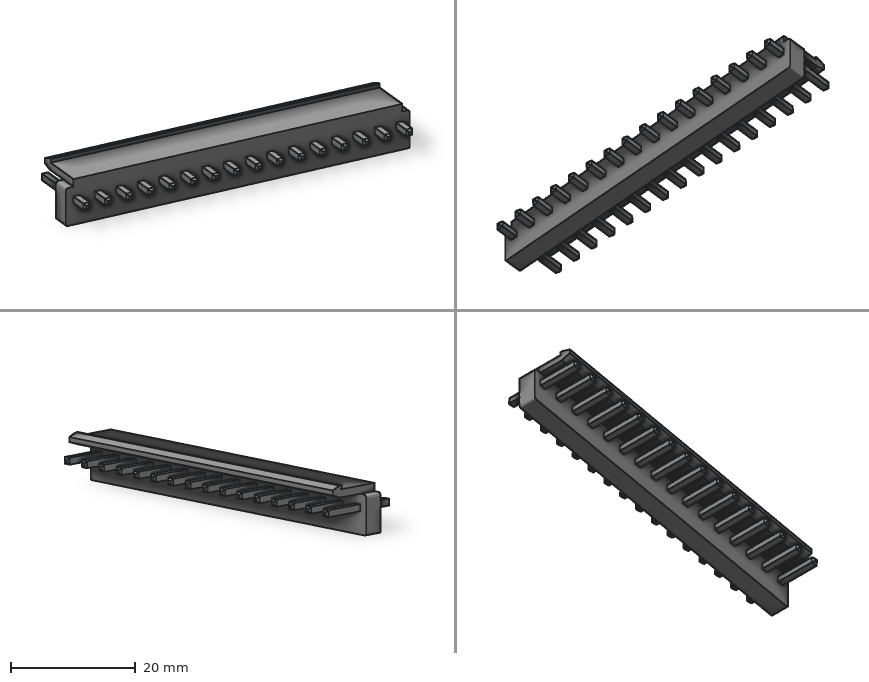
import cadquery as cq

pin_count = 16
pin_row_length = 59.4
pin_pitch = pin_row_length / (pin_count - 1)
pin_width = 1.15
pin_length = 14.3
pin_height = 4.45
tip_length = 0.4
tip_width = 0.5

wall_length = 63.35
wall_start = 0.3
wall_thickness = 3.2
wall_height = 6.7
top_edge_radius = 0.6
bottom_edge_radius = 0.4

ramp_length = 60.6
plate_thickness = 1.3
hook_height = 0.65
total_height = wall_height + plate_thickness + hook_height
ramp_reach = 9.4
hook_crest_start = 1.5
hook_crest_end = 1.95
nose_bottom = 0.6
nose_top = 1.4
nose_taper_length = 1.65


def wall():
    """Upright wall with rounded top and bottom end edges."""
    block = cq.Workplane("XY").box(
        wall_thickness, wall_length, wall_height, centered=(False, True, False)
    )
    block = block.edges("|X and >Z").fillet(top_edge_radius)
    block = block.edges("|X and <Z").fillet(bottom_edge_radius)
    return block.translate((wall_start, 0, 0))


def ramp():
    """Roof plate extruded along Y, tapered at the nose and raised at the hook."""
    back = wall_start + wall_thickness
    nose = back - ramp_reach
    plate_top = wall_height + plate_thickness
    profile = [
        (back, wall_height),
        (back, plate_top),
        (nose + hook_crest_end, plate_top),
        (nose + hook_crest_end, total_height),
        (nose + hook_crest_start, total_height),
        (nose, wall_height + nose_top),
        (nose, wall_height + nose_bottom),
        (nose + nose_taper_length, wall_height),
    ]
    return cq.Workplane("XZ").polyline(profile).close().extrude(ramp_length / 2, both=True)


def pin(y):
    """Square pin along X with a tapered tip at each end."""
    shank_end = pin_length / 2 - tip_length
    shank = cq.Workplane("YZ").rect(pin_width, pin_width).extrude(shank_end, both=True)
    tip = (
        cq.Workplane("YZ", origin=(shank_end, 0, 0))
        .rect(pin_width, pin_width)
        .workplane(offset=tip_length)
        .rect(tip_width, tip_width)
        .loft(ruled=True)
    )
    return shank.union(tip).union(tip.mirror("YZ")).translate((0, y, pin_height))


result = wall().union(ramp())
for index in range(pin_count):
    result = result.union(pin((index - (pin_count - 1) / 2) * pin_pitch))